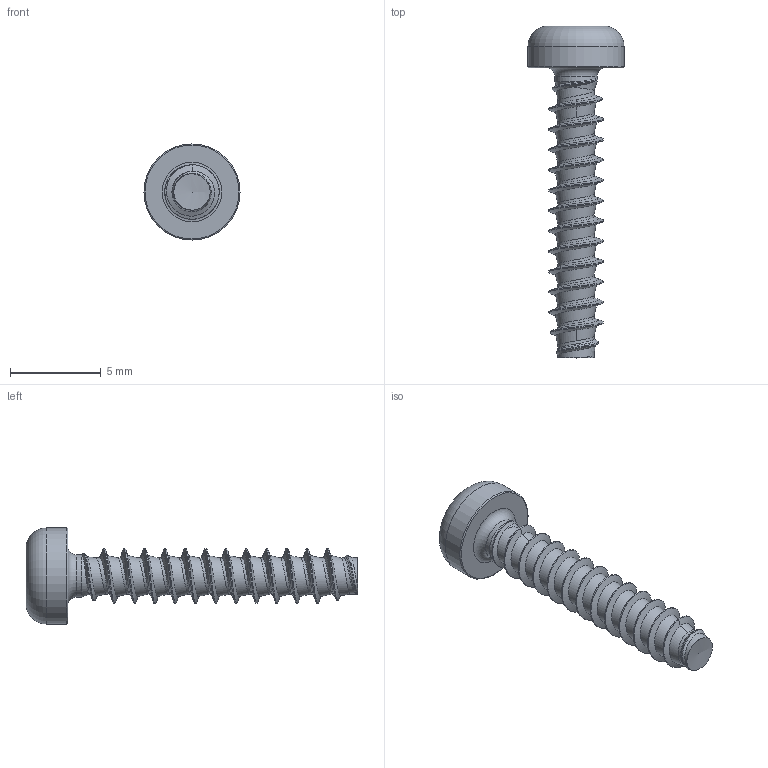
import cadquery as cq
import math


head_radius = 5.3 / 2
head_height = 2.3
dome_radius = 1.12
rim_round = 0.06

shank_length = 16.0
neck_radius = 1.16
neck_fillet = 0.48
neck_length = 0.76
neck_taper_length = 0.5
core_radius = 1.0
dish_depth = 0.06

pitch = 1.12
turns = 13.75
run_in_turns = 1.25
run_out_turns = 1.5
crest_radius = 1.5
crest_half_width = 0.03
head_side_break = (0.12, 1.22)
head_side_toe = 0.24
root_radius = 1.13
root_offset = 0.15
root_taper_end = 0.74
run_in_scale = 0.42
fade_radius = 0.985
buried_radius = 0.8
points_per_turn = 24

thread_start = turns * pitch - shank_length


def make_body():
    """Head, neck and core turned about the Y axis."""
    arc_share = math.sqrt(0.5)
    dome_centre = (head_radius - dome_radius, head_height - dome_radius)
    dome_middle = (
        dome_centre[0] + dome_radius * arc_share,
        dome_centre[1] + dome_radius * arc_share,
    )
    rim_middle = (
        head_radius - rim_round * (1 - arc_share),
        rim_round * (1 - arc_share),
    )
    fillet_outer_radius = neck_radius + neck_fillet
    fillet_middle = (
        fillet_outer_radius - neck_fillet * arc_share,
        -neck_fillet * (1 - arc_share),
    )
    outline = (
        cq.Workplane("XY")
        .moveTo(0, head_height)
        .lineTo(dome_centre[0], head_height)
        .threePointArc(dome_middle, (head_radius, dome_centre[1]))
        .lineTo(head_radius, rim_round)
        .threePointArc(rim_middle, (head_radius - rim_round, 0))
        .lineTo(fillet_outer_radius, 0)
        .threePointArc(fillet_middle, (neck_radius, -neck_fillet))
        .lineTo(neck_radius, -neck_length)
        .lineTo(core_radius, -neck_length - neck_taper_length)
        .lineTo(core_radius, -shank_length)
        .lineTo(0, -shank_length)
        .close()
    )
    return outline.revolve(360, (0, 0), (0, 1))


def thread_profile():
    """Corners of the full thread section as (distance from the crest towards the tip, radius)."""
    root_slope = (root_radius - core_radius) / (root_taper_end - root_offset)
    break_offset, break_radius = head_side_break
    tip_side_toe = root_taper_end + (core_radius - fade_radius) / root_slope
    return [
        (-head_side_toe, buried_radius),
        (-head_side_toe, fade_radius),
        (-break_offset, break_radius),
        (-crest_half_width, crest_radius),
        (crest_half_width, crest_radius),
        (root_offset, root_radius),
        (tip_side_toe, fade_radius),
        (tip_side_toe, buried_radius),
    ]


def height_scale(turn):
    """Share of the full thread height after a number of turns from the head end."""
    if turn < run_in_turns:
        return run_in_scale + (1 - run_in_scale) * turn / run_in_turns
    return min(1.0, (turns - turn) / run_out_turns)


def thread_point(corner, turn):
    """Place a profile corner on the helix, which starts at +X and turns by way of +Z."""
    offset, radius = corner
    if radius > fade_radius:
        radius = fade_radius + (radius - fade_radius) * height_scale(turn)
    angle = 2 * math.pi * turn
    return cq.Vector(
        radius * math.cos(angle),
        thread_start - pitch * turn - offset,
        radius * math.sin(angle),
    )


def helix_edge(corner, first_turn, last_turn):
    """Curve followed by one profile corner between two turns."""
    steps = round((last_turn - first_turn) * points_per_turn)
    step = (last_turn - first_turn) / steps
    return cq.Edge.makeSpline([thread_point(corner, first_turn + i * step) for i in range(steps + 1)])


def end_cap(profile, turn):
    """Flat face closing the thread at one end."""
    corners = [thread_point(corner, turn) for corner in profile]
    return cq.Face.makeFromWires(cq.Wire.makePolygon(corners, close=True))


def make_thread():
    """Thread solid: run-in, full-height and run-out stretches between two end caps."""
    profile = thread_profile()
    last_turn = turns - 1 / points_per_turn
    stretch_ends = [0, run_in_turns, turns - run_out_turns, last_turn]
    faces = [end_cap(profile, 0), end_cap(profile, last_turn)]
    for first, last in zip(stretch_ends, stretch_ends[1:]):
        edges = [helix_edge(corner, first, last) for corner in profile]
        for edge, next_edge in zip(edges, edges[1:] + edges[:1]):
            faces.append(cq.Face.makeRuledSurface(edge, next_edge))
    return cq.Workplane(obj=cq.Solid.makeSolid(cq.Shell.makeShell(faces)))


def trim_tip(screw):
    """Cut the thread flush with the tip and hollow the tip into a shallow dish."""
    trim_radius = 2 * crest_radius
    trim_depth = 2 * pitch
    trim = (
        cq.Workplane("XZ", origin=(0, -shank_length, 0))
        .circle(trim_radius)
        .extrude(trim_depth)
    )
    dish_radius = (core_radius**2 + dish_depth**2) / (2 * dish_depth)
    dish = (
        cq.Workplane("XY")
        .moveTo(0, -shank_length)
        .lineTo(core_radius, -shank_length)
        .radiusArc((0, -shank_length + dish_depth), -dish_radius)
        .close()
        .revolve(360, (0, -shank_length), (0, 0))
    )
    return screw.cut(trim).cut(dish)


result = trim_tip(make_body().union(make_thread())).solids()